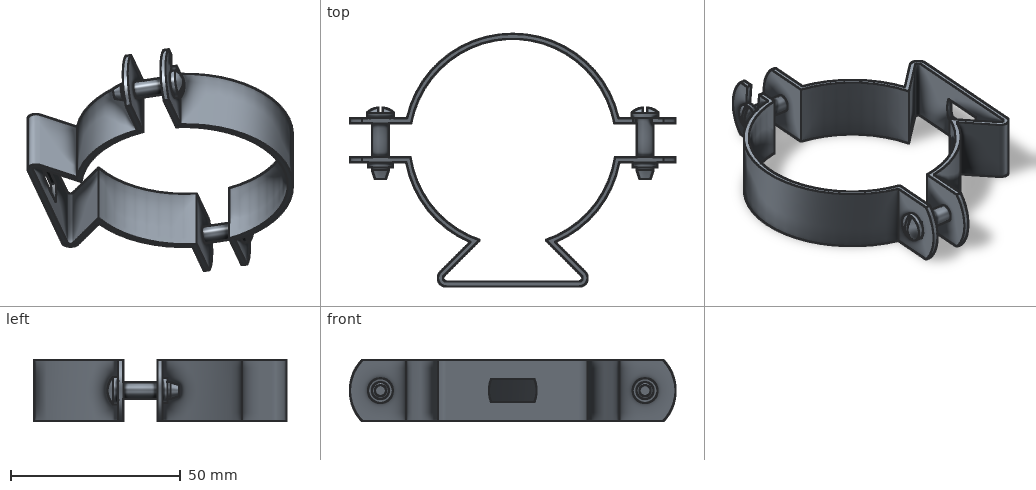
import cadquery as cq
import math

width = 18.0
thickness = 1.5
ring_outer = 32.0
ring_inner = ring_outer - thickness

ear_tip = 48.0
ear_corner = 44.3
upper_ear_top = 7.1
upper_ear_bottom = upper_ear_top - thickness
lower_ear_top = -4.4
lower_ear_bottom = lower_ear_top - thickness

foot_bottom = -42.5
foot_flat_half = 19.6
bend_inner = 1.0
bend_outer = bend_inner + thickness
foot_top = foot_bottom + thickness
bend_y = foot_bottom + bend_outer
leg_normal_angle = 45
bend_mid_angle = (leg_normal_angle - 90) / 2
window_length = 14.0
window_height = 6.7
window_end_radius = 9.6

screw_x = 39.0
shank_radius = 2.5
head_radius = 4.0
head_rim_height = 1.5
dome_height = 1.6
drive_slot_width = 1.2
shank_end = -8.3
tip_end = -10.8
tip_radius = 1.6

hook_half_width = 2.8
slotted_hole_x = -39.2
slotted_hole_length = 7.7
slotted_hole_height = 5.6
slotted_hole_end_radius = 4.8
hook_x = 38.8
hook_swing_radius = hook_x - slotted_hole_x
collar_radius = 3.6
collar_height = 1.4


def on_ring(radius, y):
    """Point with positive X on a ring circle at height y."""
    return (math.sqrt(radius**2 - y**2), y)


def on_ring_and_leg(radius, leg_offset):
    """Point where a ring circle meets the 45 degree leg line x + y = leg_offset."""
    x = (leg_offset + math.sqrt(2 * radius**2 - leg_offset**2)) / 2
    return (x, leg_offset - x)


def on_circle(radius, angle, center=(0, 0)):
    """Point on a circle at an angle in degrees."""
    turn = math.radians(angle)
    return (center[0] + radius * math.cos(turn), center[1] + radius * math.sin(turn))


def midway(radius, start, end):
    """Point on a ring circle halfway along the short arc between two of its points."""
    x = start[0] + end[0]
    y = start[1] + end[1]
    scale = radius / math.hypot(x, y)
    return (x * scale, y * scale)


def both_halves(half_outline):
    """Extrude the half outline on the +X side to the strap width and mirror it across X = 0."""
    half = half_outline.close().extrude(width / 2, both=True)
    return half.union(half.mirror("YZ"))


def along_y(sketch_y=0):
    """XZ sketch plane at a given Y whose extrusions run toward -Y."""
    return cq.Workplane("XZ", origin=(0, sketch_y, 0))


def round_ears(strap):
    """Trim the ear ends to arcs across the strap width."""
    top = width / 2
    envelope = (
        along_y()
        .moveTo(-ear_corner, top)
        .lineTo(ear_corner, top)
        .threePointArc((ear_tip, 0), (ear_corner, -top))
        .lineTo(-ear_corner, -top)
        .threePointArc((-ear_tip, 0), (-ear_corner, top))
        .close()
        .extrude(2 * ear_tip, both=True)
    )
    return strap.intersect(envelope)


def bowed_slot(x, top_y, length, height, end_radius):
    """Cutter through one strap thickness: straight long sides and outward bowed ends."""
    half_height = height / 2
    bow = end_radius - math.sqrt(end_radius**2 - half_height**2)
    tip = length / 2
    corner = tip - bow
    return (
        along_y(top_y)
        .moveTo(x - corner, half_height)
        .lineTo(x + corner, half_height)
        .threePointArc((x + tip, 0), (x + corner, -half_height))
        .lineTo(x - corner, -half_height)
        .threePointArc((x - tip, 0), (x - corner, half_height))
        .close()
        .extrude(thickness)
    )


def hook_slot():
    """Cutter for the right upper ear: a round seat with a curved channel open at the +Z edge."""
    seat = along_y(upper_ear_top).center(hook_x, 0).circle(hook_half_width).extrude(thickness)
    channel = (
        along_y(upper_ear_top)
        .center(slotted_hole_x, 0)
        .circle(hook_swing_radius + hook_half_width)
        .circle(hook_swing_radius - hook_half_width)
        .extrude(thickness)
    )
    upper_right = (
        along_y(upper_ear_top)
        .center(hook_x, width / 2)
        .rect(4 * hook_half_width, width)
        .extrude(thickness)
    )
    return seat.union(channel.intersect(upper_right))


def make_upper_strap():
    outer_corner = on_ring(ring_outer, upper_ear_top)
    inner_corner = on_ring(ring_inner, upper_ear_bottom)
    outer_crown = (0, ring_outer)
    inner_crown = (0, ring_inner)
    half = (
        cq.Workplane("XY")
        .moveTo(*outer_crown)
        .threePointArc(midway(ring_outer, outer_crown, outer_corner), outer_corner)
        .lineTo(ear_tip, upper_ear_top)
        .lineTo(ear_tip, upper_ear_bottom)
        .lineTo(*inner_corner)
        .threePointArc(midway(ring_inner, inner_corner, inner_crown), inner_crown)
    )
    strap = round_ears(both_halves(half))
    slotted_hole = bowed_slot(
        slotted_hole_x, upper_ear_top, slotted_hole_length, slotted_hole_height, slotted_hole_end_radius
    )
    return strap.cut(slotted_hole).cut(hook_slot())


def make_lower_strap():
    bend_center = (foot_flat_half, bend_y)
    outer_leg_start = on_circle(bend_outer, leg_normal_angle, bend_center)
    inner_leg_start = on_circle(bend_inner, leg_normal_angle, bend_center)
    outer_leg_end = on_ring_and_leg(ring_outer, sum(outer_leg_start))
    inner_leg_end = on_ring_and_leg(ring_inner, sum(inner_leg_start))
    outer_corner = on_ring(ring_outer, lower_ear_bottom)
    inner_corner = on_ring(ring_inner, lower_ear_top)
    inner_flat_end = (foot_flat_half, foot_top)
    half = (
        cq.Workplane("XY")
        .moveTo(0, foot_bottom)
        .lineTo(foot_flat_half, foot_bottom)
        .threePointArc(on_circle(bend_outer, bend_mid_angle, bend_center), outer_leg_start)
        .lineTo(*outer_leg_end)
        .threePointArc(midway(ring_outer, outer_leg_end, outer_corner), outer_corner)
        .lineTo(ear_tip, lower_ear_bottom)
        .lineTo(ear_tip, lower_ear_top)
        .lineTo(*inner_corner)
        .threePointArc(midway(ring_inner, inner_corner, inner_leg_end), inner_leg_end)
        .lineTo(*inner_leg_start)
        .threePointArc(on_circle(bend_inner, bend_mid_angle, bend_center), inner_flat_end)
        .lineTo(0, foot_top)
    )
    strap = round_ears(both_halves(half))
    strap = strap.cut(bowed_slot(0, foot_top, window_length, window_height, window_end_radius))
    for x in (-screw_x, screw_x):
        collar = along_y(lower_ear_bottom).center(x, 0).circle(collar_radius).extrude(collar_height)
        bore = along_y(lower_ear_top).center(x, 0).circle(shank_radius).extrude(thickness + collar_height)
        strap = strap.union(collar).cut(bore)
    return strap


def make_screw(x):
    """Slotted domed-head screw with a tapered tip, its axis parallel to Y at the given X."""
    rim_top = upper_ear_top + head_rim_height
    head_top = rim_top + dome_height
    dome_radius = (head_radius**2 + dome_height**2) / (2 * dome_height)
    dome_center = (0, head_top - dome_radius)
    rim_angle = math.degrees(math.acos(head_radius / dome_radius))
    dome_mid = on_circle(dome_radius, (rim_angle + 90) / 2, dome_center)
    profile = (
        cq.Workplane("XY")
        .moveTo(0, tip_end)
        .lineTo(tip_radius, tip_end)
        .lineTo(shank_radius, shank_end)
        .lineTo(shank_radius, upper_ear_top)
        .lineTo(head_radius, upper_ear_top)
        .lineTo(head_radius, rim_top)
        .threePointArc(dome_mid, (0, head_top))
        .close()
    )
    screw = profile.revolve(360, (0, 0, 0), (0, 1, 0))
    drive_slot = along_y(head_top).rect(drive_slot_width, 2 * head_radius).extrude(dome_height)
    return screw.cut(drive_slot).translate((x, 0, 0))


upper_strap = make_upper_strap()
lower_strap = make_lower_strap()
screws = [make_screw(x) for x in (-screw_x, screw_x)]

result = cq.Compound.makeCompound(
    [upper_strap.val(), lower_strap.val(), *[screw.val() for screw in screws]]
)